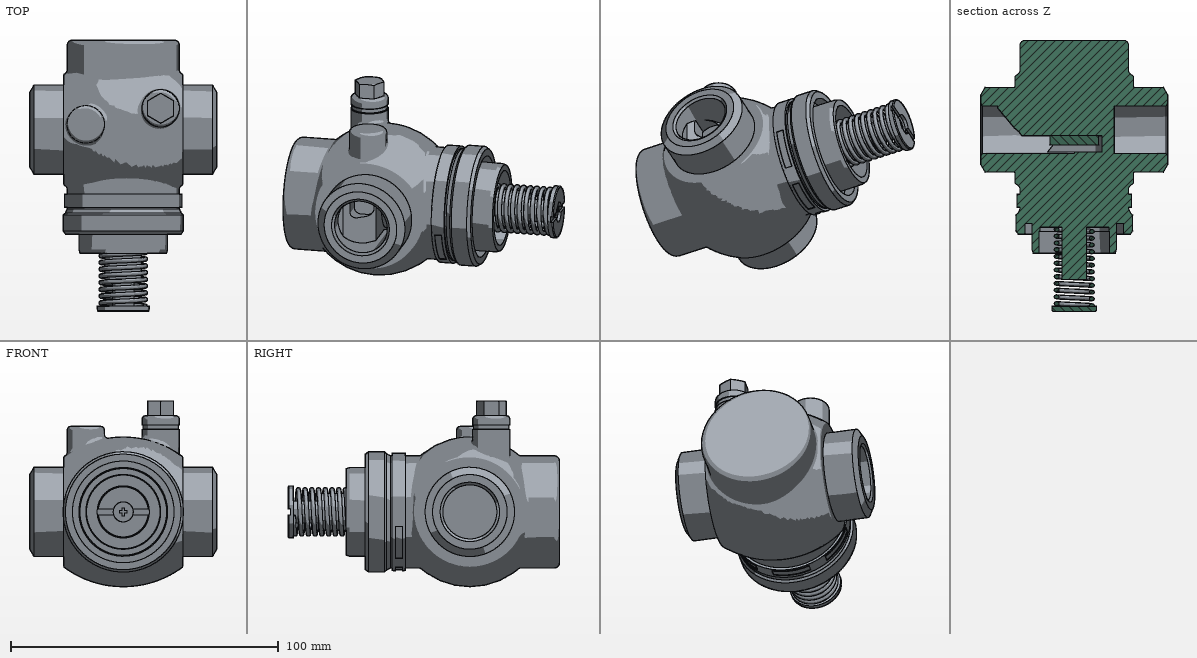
import cadquery as cq
import math

BALL_RADIUS = 28.0
BALL_HALF_WIDTH = 22.25
BALL_RIM_RADIUS = 20.6
BALL_RIM_FILLET = 0.7

PORT_REACH = 35.0
PORT_RADIUS = 16.7
PORT_CHAMFER_LENGTH = 1.65
PORT_CHAMFER_DEPTH = 2.75
PORT_BORE_RADIUS = 10.1
PORT_MOUTH_RADIUS = 11.1
PORT_MOUTH_LENGTH = 0.7
LEFT_BORE_END_X = 0.0
RIGHT_BORE_END_X = 15.0

BAFFLE_BACK = (-28.7, 8.15)
BAFFLE_SLANT = 40
BAFFLE_EDGE_Y = 0.7
BAFFLE_BEVEL_Y = -0.8
BAFFLE_BEVEL_SLANT = 50
BAFFLE_LIP_SLANT = 35
BAFFLE_WINDOW_Y = (-1.7, 5.9)
BAFFLE_WINDOW_Z = (0.3, 9.7)
BAFFLE_WINDOW_CORNER = 2.5
BAFFLE_WINDOW_FLOOR_X = -20.0

NECK_RADIUS = 21.0
BACK_END_Y = 33.5
BACK_FILLET = 2.0
NECK_BALL_FILLET = 1.3
SEAM_TOLERANCE = 1.0
RING_RADIUS = 22.0
RING_BACK_Y = -24.1
RING_FRONT_Y = -29.0
RING_WINDOW_WIDTH = 2.6
RING_WINDOW_DEPTH = 0.3
RING_WINDOW_SWEEP = 38
RING_WINDOW_ANGLES = (-56.5, 0, 56.5)
NECK_FLARE_Y = -29.6
FLANGE_BACK_Y = -31.1
FLANGE_RADIUS = 22.5
FLANGE_BACK_CHAMFER = 0.8
FLANGE_FRONT_Y = -39.1
FLANGE_FRONT_CHAMFER = (0.9, 1.3)
FLANGE_BORE_RADIUS = 19.0
FLANGE_BORE_DEPTH = 4.0

SLEEVE_RADIUS = 16.6
SLEEVE_FRONT_Y = -46.2
SLEEVE_CHAMFER = (0.4, 1.3)
SLEEVE_BORE_RADIUS = 14.0
SLEEVE_STEP_RADIUS = 13.75
SLEEVE_STEP_Y = -38.0
SPRING_SEAT_Y = -36.5
GUIDE_RADIUS = 6.9
GUIDE_FRONT_Y = -56.0

BOSS_RADIUS = 7.0
BOSS_ROOT_FILLET = 1.4
BLIND_BOSS_AT = (-14.0, 2.0)
BLIND_BOSS_TOP = 32.0
BOSS_TOP_FILLET = 1.5
BLEED_BOSS_AT = (14.0, 8.0)
BLEED_BOSS_TOP = 31.0
BLEED_BOSS_CHAMFER = 0.3
BLEED_GROOVE_RADIUS = 6.7
BLEED_COLLAR_BOTTOM = 32.5
BLEED_COLLAR_TOP = 36.0
BLEED_HEX_TOP = 41.5
BLEED_HEX_CORNERS = 11.2
BLEED_HEX_CHAMFER_HEIGHT = 0.2
BLEED_HEX_CHAMFER_DEPTH = 0.75

PLUG_RADIUS = 10.5
PLUG_BACK_Y = -2.3
PLUG_FRONT_Y = -5.75
CHAMBER_RADIUS = 11.5
CHAMBER_FRONT_Y = -8.3
ROD_RADIUS = 4.1
RETAINER_RADIUS = 9.75
RETAINER_BACK_Y = -65.9
RETAINER_FRONT_Y = -67.95
RETAINER_CHAMFER = 0.4
RETAINER_SLOT_WIDTH = 2.2
RETAINER_SLOT_DEPTH = 0.9
RETAINER_RECESS_RADIUS = 3.75
RETAINER_RECESS_DEPTH = 1.2
CROSS_LENGTH = 2.9
CROSS_WIDTH = 0.9
CROSS_DEPTH = 0.5

WIRE_RADIUS = 0.8
COIL_RADIUS = 8.3
COIL_PITCH = 2.515
COIL_PHASE_Y = -63.45


def y_cylinder(radius, y_start, y_end):
    """Cylinder about the Y axis between two Y positions."""
    low = min(y_start, y_end)
    return cq.Workplane("XZ", origin=(0, low, 0)).circle(radius).extrude(-abs(y_end - y_start))


def revolve_about_y(points):
    """Solid of revolution about Y from (radius, y) points that start and end on the axis."""
    return cq.Workplane("XY").polyline(points).close().revolve(360, (0, 0, 0), (0, 1, 0))


def make_ball():
    ball = (
        cq.Workplane("XY")
        .moveTo(-BALL_HALF_WIDTH, 0)
        .lineTo(-BALL_HALF_WIDTH, BALL_RIM_RADIUS)
        .threePointArc((0, BALL_RADIUS), (BALL_HALF_WIDTH, BALL_RIM_RADIUS))
        .lineTo(BALL_HALF_WIDTH, 0)
        .close()
        .revolve(360, (0, 0, 0), (1, 0, 0))
    )
    return ball.edges("%CIRCLE").fillet(BALL_RIM_FILLET)


def fillet_seams(solid, cylinder_radius, fillet_radius):
    """Round the free-form seams that are as wide along X as a cylinder joining the ball."""
    seams = [
        edge for edge in solid.edges("%BSPLINE").vals()
        if abs(edge.BoundingBox().xlen - 2 * cylinder_radius) < SEAM_TOLERANCE
    ]
    return solid.newObject(seams).fillet(fillet_radius)


def add_necks(ball):
    back = y_cylinder(NECK_RADIUS, 0, BACK_END_Y).faces(">Y").edges().fillet(BACK_FILLET)
    front = y_cylinder(NECK_RADIUS, RING_FRONT_Y, 0)
    return fillet_seams(ball.union(back).union(front), NECK_RADIUS, NECK_BALL_FILLET)


def make_flange():
    front_in, front_long = FLANGE_FRONT_CHAMFER
    sleeve_in, sleeve_long = SLEEVE_CHAMFER
    flange_back_radius = FLANGE_RADIUS - FLANGE_BACK_CHAMFER
    return revolve_about_y([
        (0, RING_BACK_Y),
        (RING_RADIUS, RING_BACK_Y),
        (RING_RADIUS, RING_FRONT_Y),
        (NECK_RADIUS, RING_FRONT_Y),
        (NECK_RADIUS, NECK_FLARE_Y),
        (flange_back_radius, FLANGE_BACK_Y),
        (FLANGE_RADIUS, FLANGE_BACK_Y - FLANGE_BACK_CHAMFER),
        (FLANGE_RADIUS, FLANGE_FRONT_Y + front_long),
        (FLANGE_RADIUS - front_in, FLANGE_FRONT_Y),
        (FLANGE_BORE_RADIUS, FLANGE_FRONT_Y),
        (FLANGE_BORE_RADIUS, FLANGE_FRONT_Y + FLANGE_BORE_DEPTH),
        (SLEEVE_RADIUS, FLANGE_FRONT_Y + FLANGE_BORE_DEPTH),
        (SLEEVE_RADIUS, SLEEVE_FRONT_Y + sleeve_long),
        (SLEEVE_RADIUS - sleeve_in, SLEEVE_FRONT_Y),
        (SLEEVE_BORE_RADIUS, SLEEVE_FRONT_Y),
        (SLEEVE_BORE_RADIUS, SLEEVE_STEP_Y),
        (SLEEVE_STEP_RADIUS, SLEEVE_STEP_Y),
        (SLEEVE_STEP_RADIUS, SPRING_SEAT_Y),
        (GUIDE_RADIUS, SPRING_SEAT_Y),
        (GUIDE_RADIUS, GUIDE_FRONT_Y),
        (0, GUIDE_FRONT_Y),
    ])


def make_ring_windows():
    """Cutters for the shallow recesses around the ring."""
    middle_y = (RING_BACK_Y + RING_FRONT_Y) / 2
    back_y = middle_y + RING_WINDOW_WIDTH / 2
    front_y = middle_y - RING_WINDOW_WIDTH / 2
    floor_radius = RING_RADIUS - RING_WINDOW_DEPTH
    band = (
        cq.Workplane("XY")
        .polyline([
            (floor_radius, back_y),
            (RING_RADIUS + RING_WINDOW_DEPTH, back_y),
            (RING_RADIUS + RING_WINDOW_DEPTH, front_y),
            (floor_radius, front_y),
        ])
        .close()
        .revolve(RING_WINDOW_SWEEP, (0, 0, 0), (0, 1, 0))
    )
    to_bottom = 90 - RING_WINDOW_SWEEP / 2
    return [band.rotate((0, 0, 0), (0, 1, 0), to_bottom + angle) for angle in RING_WINDOW_ANGLES]


def make_ports():
    chamfer_start = PORT_REACH - PORT_CHAMFER_LENGTH
    face_radius = PORT_RADIUS - PORT_CHAMFER_DEPTH
    return (
        cq.Workplane("XY")
        .polyline([
            (-PORT_REACH, 0),
            (-PORT_REACH, face_radius),
            (-chamfer_start, PORT_RADIUS),
            (chamfer_start, PORT_RADIUS),
            (PORT_REACH, face_radius),
            (PORT_REACH, 0),
        ])
        .close()
        .revolve(360, (0, 0, 0), (1, 0, 0))
    )


def z_cylinder(at, radius, bottom, top):
    return cq.Workplane("XY", origin=(*at, bottom)).circle(radius).extrude(top - bottom)


def top_edge(housing, at, top):
    """Rim of the flat top of a boss."""
    return housing.faces(cq.NearestToPointSelector((*at, top))).edges()


def add_boss(housing, at, top):
    """Join a round boss to the ball and fillet its root."""
    housing = housing.union(z_cylinder(at, BOSS_RADIUS, 0, top))
    return fillet_seams(housing, BOSS_RADIUS, BOSS_ROOT_FILLET)


def make_bleed_top():
    groove = z_cylinder(BLEED_BOSS_AT, BLEED_GROOVE_RADIUS, BLEED_BOSS_TOP, BLEED_COLLAR_BOTTOM)
    collar = z_cylinder(BLEED_BOSS_AT, BOSS_RADIUS, BLEED_COLLAR_BOTTOM, BLEED_COLLAR_TOP)
    collar = collar.faces(">Z").edges().fillet(BOSS_TOP_FILLET)
    hexagon = (
        cq.Workplane("XY", origin=(*BLEED_BOSS_AT, BLEED_COLLAR_TOP))
        .transformed(rotate=(0, 0, 90))
        .polygon(6, BLEED_HEX_CORNERS)
        .extrude(BLEED_HEX_TOP - BLEED_COLLAR_TOP)
    )
    rounding = z_cylinder(BLEED_BOSS_AT, BLEED_HEX_CORNERS / 2, BLEED_COLLAR_TOP, BLEED_HEX_TOP)
    rounding = rounding.faces(">Z").edges().chamfer(BLEED_HEX_CHAMFER_HEIGHT, BLEED_HEX_CHAMFER_DEPTH)
    hexagon = hexagon.intersect(rounding)
    return groove.union(collar).union(hexagon)


def make_port_bore(side, end_x):
    """Round bore of one port, with a tapered mouth; side is -1 or 1."""
    return (
        cq.Workplane("XY")
        .polyline([
            (side * PORT_REACH, 0),
            (side * PORT_REACH, PORT_MOUTH_RADIUS),
            (side * (PORT_REACH - PORT_MOUTH_LENGTH), PORT_BORE_RADIUS),
            (end_x, PORT_BORE_RADIUS),
            (end_x, 0),
        ])
        .close()
        .revolve(360, (0, 0, 0), (1, 0, 0))
    )


def make_baffle():
    """Wall left standing in the -X bore: a slanted face, a bevelled edge and a window recess."""
    back_x, back_y = BAFFLE_BACK
    edge_x = back_x + (back_y - BAFFLE_EDGE_Y) * math.tan(math.radians(BAFFLE_SLANT))
    bevel_x = edge_x + (BAFFLE_EDGE_Y - BAFFLE_BEVEL_Y) * math.tan(math.radians(BAFFLE_BEVEL_SLANT))
    lip_x = bevel_x + (BAFFLE_BEVEL_Y - PLUG_BACK_Y) * math.tan(math.radians(BAFFLE_LIP_SLANT))
    wall = (
        cq.Workplane("XY", origin=(0, 0, -PORT_BORE_RADIUS))
        .polyline([
            (back_x, PORT_BORE_RADIUS),
            (back_x, back_y),
            (edge_x, BAFFLE_EDGE_Y),
            (bevel_x, BAFFLE_BEVEL_Y),
            (lip_x, PLUG_BACK_Y),
            (LEFT_BORE_END_X, PLUG_BACK_Y),
            (LEFT_BORE_END_X, PORT_BORE_RADIUS),
        ])
        .close()
        .extrude(2 * PORT_BORE_RADIUS)
    )
    low_y, high_y = BAFFLE_WINDOW_Y
    low_z, high_z = BAFFLE_WINDOW_Z
    window_length = BAFFLE_WINDOW_FLOOR_X + PORT_REACH
    window = (
        cq.Workplane("XY")
        .box(window_length, high_y - low_y, high_z - low_z)
        .edges("|X")
        .fillet(BAFFLE_WINDOW_CORNER)
        .translate((BAFFLE_WINDOW_FLOOR_X - window_length / 2, (low_y + high_y) / 2, (low_z + high_z) / 2))
    )
    return wall.cut(window)


def make_housing():
    housing = add_necks(make_ball())
    housing = add_boss(housing, BLIND_BOSS_AT, BLIND_BOSS_TOP)
    housing = top_edge(housing, BLIND_BOSS_AT, BLIND_BOSS_TOP).fillet(BOSS_TOP_FILLET)
    housing = add_boss(housing, BLEED_BOSS_AT, BLEED_BOSS_TOP)
    housing = top_edge(housing, BLEED_BOSS_AT, BLEED_BOSS_TOP).chamfer(BLEED_BOSS_CHAMFER)
    housing = housing.union(make_bleed_top()).union(make_flange()).union(make_ports())
    for window in make_ring_windows():
        housing = housing.cut(window)
    housing = housing.cut(make_port_bore(-1, LEFT_BORE_END_X).cut(make_baffle()))
    housing = housing.cut(make_port_bore(1, RIGHT_BORE_END_X))
    housing = housing.cut(y_cylinder(CHAMBER_RADIUS, PLUG_BACK_Y, CHAMBER_FRONT_Y))
    return housing.cut(y_cylinder(ROD_RADIUS, CHAMBER_FRONT_Y, GUIDE_FRONT_Y))


def make_stem():
    stem = (
        y_cylinder(PLUG_RADIUS, PLUG_BACK_Y, PLUG_FRONT_Y)
        .union(y_cylinder(ROD_RADIUS, PLUG_FRONT_Y, RETAINER_BACK_Y))
        .union(
            y_cylinder(RETAINER_RADIUS, RETAINER_BACK_Y, RETAINER_FRONT_Y)
            .faces("<Y").edges().chamfer(RETAINER_CHAMFER)
        )
    )
    face = cq.Workplane("XZ", origin=(0, RETAINER_FRONT_Y, 0))
    stem = stem.cut(face.rect(2 * RETAINER_RADIUS, RETAINER_SLOT_WIDTH).extrude(-RETAINER_SLOT_DEPTH))
    stem = stem.cut(face.circle(RETAINER_RECESS_RADIUS).extrude(-RETAINER_RECESS_DEPTH))
    cross_depth = RETAINER_RECESS_DEPTH + CROSS_DEPTH
    for size in ((CROSS_LENGTH, CROSS_WIDTH), (CROSS_WIDTH, CROSS_LENGTH)):
        stem = stem.cut(face.rect(*size).extrude(-cross_depth))
    return stem


def make_spring():
    """Right-handed coil about Y, ground flat against the retainer and the spring seat."""
    length = SPRING_SEAT_Y - RETAINER_BACK_Y
    helix = cq.Wire.makeHelix(COIL_PITCH, length, COIL_RADIUS)
    wire_section = cq.Workplane("XZ", origin=(COIL_RADIUS, 0, 0)).circle(WIRE_RADIUS)
    coil = wire_section.sweep(cq.Workplane(obj=helix), isFrenet=True)
    start_angle = 360 * (RETAINER_BACK_Y - COIL_PHASE_Y) / COIL_PITCH
    coil = (
        coil.rotate((0, 0, 0), (0, 0, 1), start_angle)
        .rotate((0, 0, 0), (1, 0, 0), -90)
        .translate((0, RETAINER_BACK_Y, 0))
    )
    return coil.intersect(y_cylinder(SLEEVE_STEP_RADIUS, RETAINER_BACK_Y, SPRING_SEAT_Y))


housing = make_housing()
stem = make_stem()
spring = make_spring()

result = cq.Compound.makeCompound([*housing.vals(), *stem.vals(), *spring.vals()])